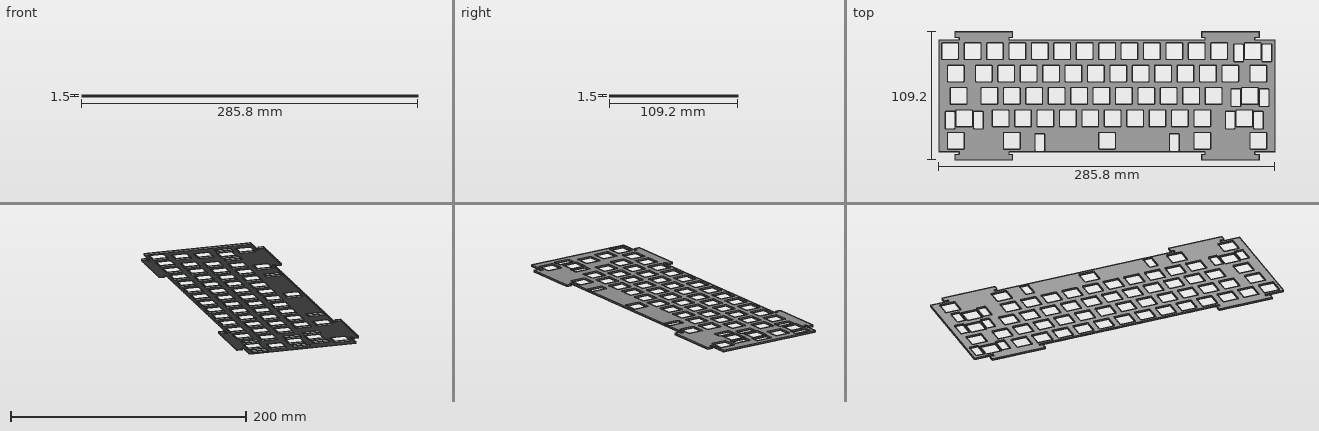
import cadquery as cq

length = 285.8
depth = 109.2
thickness = 1.5
units_across = 15
row_count = 5
key_unit = length / units_across
body_depth = row_count * key_unit

cutout_corner_radius = 0.5

switch_side = 14.0

stabilizer_width = 8.0
stabilizer_height = 15.0
stabilizer_drop = 1.5
wide_key_reach = 12.0
space_bar_reach = 57.2

head_inner = 80.3
head_outer = 129.5
neck_inner = 83.2
neck_outer = 125.7
neck_height = 2.0

stabilized_width = 2
space_bar_width = 7
blank = None
blank_width = 1
key_rows = [
    [1] * 13 + [2],
    [1.5] + [1] * 12 + [1.5],
    [1.75] + [1] * 11 + [2.25],
    [2.25] + [1] * 10 + [2.75],
    [1.5, blank, 1.5, space_bar_width, 1.5, blank, 1.5],
]


def rectangle(x_min, x_max, y_min, y_max):
    """Plate-thick block between the given limits."""
    return (
        cq.Workplane("XY")
        .center((x_min + x_max) / 2, (y_min + y_max) / 2)
        .rect(x_max - x_min, y_max - y_min)
        .extrude(thickness)
    )


def mounting_tab():
    """Tab on the back edge, right of centre."""
    edge = body_depth / 2
    neck_top = edge + neck_height
    neck = rectangle(neck_inner, neck_outer, edge - neck_height, neck_top)
    head = rectangle(head_inner, head_outer, neck_top, depth / 2)
    return neck.union(head)


def cutout_centres():
    """Centres of the switch cutouts and of the stabilizer cutouts."""
    switches = []
    stabilizers = []
    for row_index, row in enumerate(key_rows):
        y = body_depth / 2 - (row_index + 0.5) * key_unit
        left = -length / 2
        for key_width in row:
            if key_width is blank:
                left += blank_width * key_unit
                continue
            x = left + key_width * key_unit / 2
            left += key_width * key_unit
            switches.append((x, y))
            if key_width >= stabilized_width:
                reach = space_bar_reach if key_width == space_bar_width else wide_key_reach
                for side in (-1, 1):
                    stabilizers.append((x + side * reach, y - stabilizer_drop))
    return switches, stabilizers


def cutouts(centres, width, height):
    """Round-cornered blocks to cut through the plate at the given centres."""
    return (
        cq.Workplane("XY")
        .pushPoints(centres)
        .rect(width, height)
        .extrude(thickness)
        .edges("|Z")
        .fillet(cutout_corner_radius)
    )


plate = cq.Workplane("XY").rect(length, body_depth).extrude(thickness)

back_right = mounting_tab()
back_tabs = back_right.union(back_right.mirror("YZ"))
plate = plate.union(back_tabs).union(back_tabs.mirror("XZ"))

switch_centres, stabilizer_centres = cutout_centres()
switch_cutouts = cutouts(switch_centres, switch_side, switch_side)
stabilizer_cutouts = cutouts(stabilizer_centres, stabilizer_width, stabilizer_height)

result = plate.cut(switch_cutouts).cut(stabilizer_cutouts)